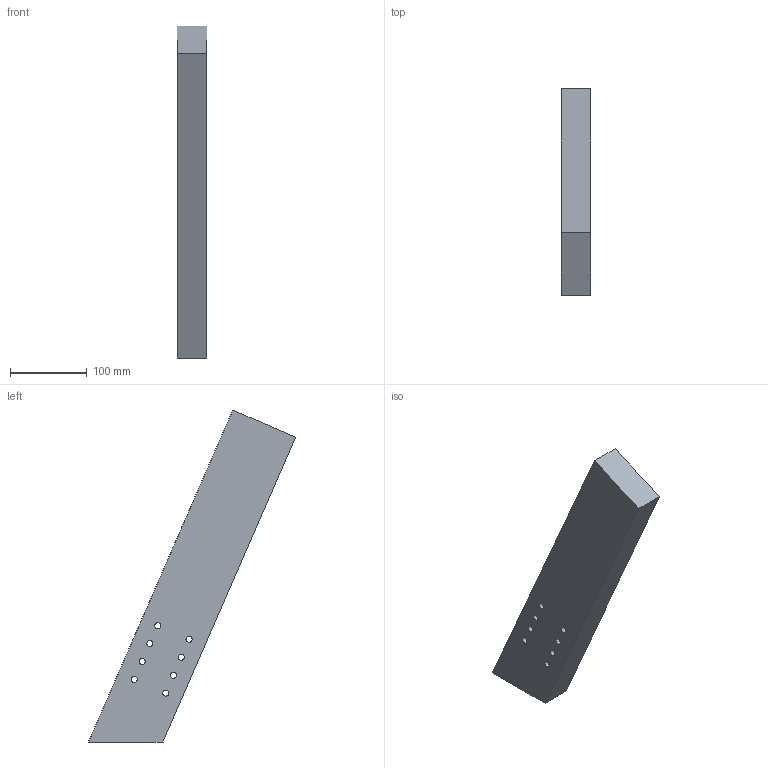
import cadquery as cq
import math

thickness = 38.1
board_width = 88.9
height = 431.44
lean_angle = 23.5

hole_diameter = 7.94
hole_pitch = 25.4
holes_per_row = 4
row_spacing = 44.45
first_hole_distance = 98.3

lean_sin = math.sin(math.radians(lean_angle))
lean_cos = math.cos(math.radians(lean_angle))
long_edge = height / lean_cos
foot_length = board_width / lean_cos


def board_point(along, across):
    """(Y, Z) of a point set out from the bottom tip, along and across the board."""
    y = -along * lean_sin - across * lean_cos
    z = along * lean_cos - across * lean_sin
    return (y, z)


def make_board():
    """Leaning board with a square top end and a level foot."""
    outline = [
        (0, 0),
        board_point(long_edge, 0),
        board_point(long_edge, board_width),
        (-foot_length, 0),
    ]
    return cq.Workplane("YZ").polyline(outline).close().extrude(thickness)


def make_holes():
    """Two rows of through holes running parallel to the sloping edges."""
    first_row = (board_width - row_spacing) / 2
    centres = [
        board_point(first_hole_distance + i * hole_pitch, across)
        for across in (first_row, first_row + row_spacing)
        for i in range(holes_per_row)
    ]
    return cq.Workplane("YZ").pushPoints(centres).circle(hole_diameter / 2).extrude(thickness)


result = make_board().cut(make_holes())